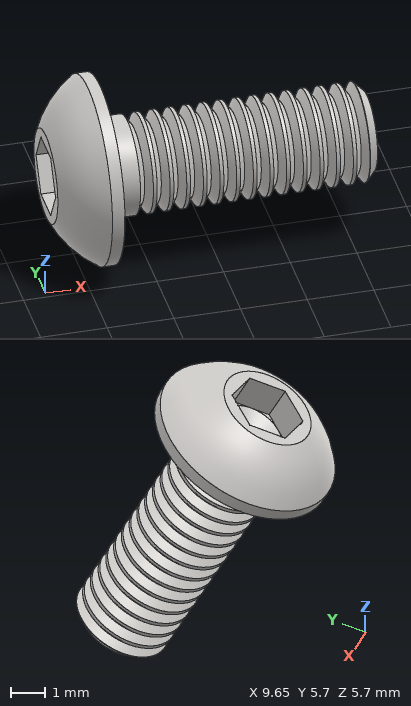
import cadquery as cq
import math

length = 9.65

head_diameter = 5.7
head_height = 1.65
rim_thickness = 0.38
crown_flat_diameter = 2.84

socket_across_flats = 2.0
socket_depth = 1.04
drill_point_angle = 120.0

shank_diameter = 3.0
neck_fillet = 0.1
thread_pitch = 0.5
groove_count = 14
groove_width = 0.39
groove_depth = 0.28
first_groove_center = 2.65
tip_chamfer = 0.29

head_radius = head_diameter / 2
crown_flat_radius = crown_flat_diameter / 2
shank_radius = shank_diameter / 2
dome_length = head_height - rim_thickness


def dome_midpoint():
    """Point halfway along the dome's depth, on a sphere centred on the screw axis."""
    sphere_center = (head_radius**2 - crown_flat_radius**2 + dome_length**2) / (2 * dome_length)
    sphere_radius = math.hypot(sphere_center, crown_flat_radius)
    x = dome_length / 2
    return x, math.sqrt(sphere_radius**2 - (sphere_center - x) ** 2)


def make_blank():
    """Head and plain shank, revolved about X; the profile is (X, radius)."""
    fillet_center = (head_height + neck_fillet, shank_radius + neck_fillet)
    fillet_reach = neck_fillet * math.sqrt(0.5)
    fillet_middle = (fillet_center[0] - fillet_reach, fillet_center[1] - fillet_reach)
    profile = (
        cq.Workplane("XY")
        .lineTo(0, crown_flat_radius)
        .threePointArc(dome_midpoint(), (dome_length, head_radius))
        .lineTo(head_height, head_radius)
        .lineTo(head_height, shank_radius + neck_fillet)
        .threePointArc(fillet_middle, (head_height + neck_fillet, shank_radius))
        .lineTo(length - tip_chamfer, shank_radius)
        .lineTo(length, shank_radius - tip_chamfer)
        .lineTo(length, 0)
        .close()
    )
    return profile.revolve(360, (0, 0, 0), (1, 0, 0))


def make_thread_groove(center):
    """V-shaped ring with its root at X = center; its flanks run on past the shank surface."""
    overshoot = 1.5
    outer_half_width = groove_width / 2 * overshoot
    outer_radius = shank_radius + groove_depth * (overshoot - 1)
    profile = cq.Workplane("XY").polyline(
        [
            (center - outer_half_width, outer_radius),
            (center, shank_radius - groove_depth),
            (center + outer_half_width, outer_radius),
        ]
    )
    return profile.close().revolve(360, (0, 0, 0), (1, 0, 0))


def make_socket():
    """Hexagon with two flats facing +Z and -Z, ending in an inscribed cone."""
    across_corners = socket_across_flats / math.cos(math.radians(30))
    hexagon = cq.Workplane("YZ").polygon(6, across_corners).extrude(socket_depth)
    cone_radius = socket_across_flats / 2
    cone_depth = cone_radius / math.tan(math.radians(drill_point_angle / 2))
    cone = (
        cq.Workplane("XY")
        .polyline([(0, 0), (0, cone_radius), (socket_depth, cone_radius), (socket_depth + cone_depth, 0)])
        .close()
        .revolve(360, (0, 0, 0), (1, 0, 0))
    )
    return hexagon.union(cone)


result = make_blank().cut(make_socket())
for index in range(groove_count):
    result = result.cut(make_thread_groove(first_groove_center + index * thread_pitch))